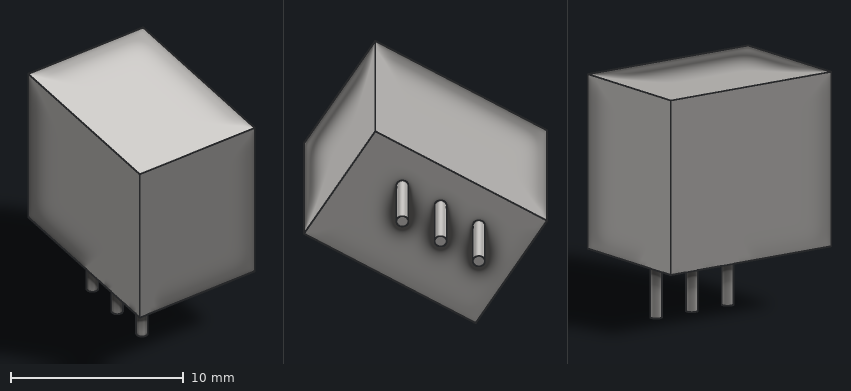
import cadquery as cq

body_length = 11.6
body_depth = 8.0
overall_height = 14.5

pin_diameter = 0.7
pin_length = 4.1
pin_pitch = 2.58
pin_count = 3
pin_row_from_front = 2.3

body_height = overall_height - pin_length
pin_row_y = pin_row_from_front - body_depth / 2


def make_body():
    """Plain rectangular block with its underside at Z = 0."""
    return cq.Workplane("XY").box(body_length, body_depth, body_height, centered=(True, True, False))


def make_pins():
    """Row of round pins hanging from the underside of the body."""
    return (
        cq.Workplane("XY")
        .center(0, pin_row_y)
        .rarray(pin_pitch, 0.15, pin_count, 1)
        .circle(pin_diameter / 2)
        .extrude(-pin_length)
    )


result = make_body().union(make_pins())